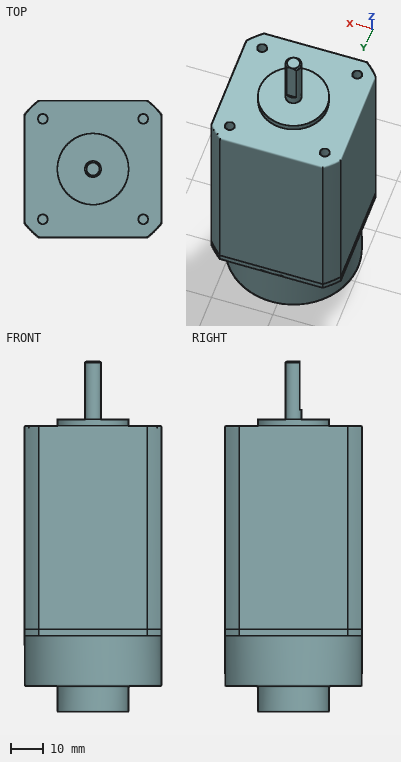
import cadquery as cq

housing_width = 42.3
corner_circle_diameter = 54.0
housing_length = 62.7
top_edge_fillet = 0.5
pilot_diameter = 22.0
pilot_height = 2.0
shaft_diameter = 5.0
shaft_length = 18.0
shaft_tip_chamfer = 0.5
flat_depth = 0.5
flat_length = 15.0
mount_hole_diameter = 3.0
mount_hole_spacing = 31.0
mount_hole_depth = 4.5

plate_thickness = 2.0
drum_diameter = housing_width
drum_length = 15.6
hub_diameter = pilot_diameter
hub_length = 8.0
rear_fillet = 0.5

drum_base = hub_length
plate_base = drum_base + drum_length
housing_base = plate_base + plate_thickness
housing_top = housing_base + housing_length
pilot_top = housing_top + pilot_height
shaft_top = pilot_top + shaft_length


def cylinder(diameter, base, height):
    """Cylinder on the motor axis, rising from the given height."""
    return cq.Workplane("XY", origin=(0, 0, base)).circle(diameter / 2).extrude(height)


def rounded_corner_block(base, height):
    """Square block whose four corners are trimmed by a large circle on the motor axis."""
    block = cq.Workplane("XY", origin=(0, 0, base)).rect(housing_width, housing_width).extrude(height)
    return block.intersect(cylinder(corner_circle_diameter, base, height))


def build_shaft():
    """Output shaft with a chamfered tip and a flat on its +Y side."""
    shaft = cylinder(shaft_diameter, pilot_top, shaft_length)
    shaft = shaft.faces(">Z").edges().chamfer(shaft_tip_chamfer)
    flat_y = shaft_diameter / 2 - flat_depth
    flat_base = shaft_top - flat_length
    flat_cutter = cq.Workplane("XY", origin=(0, flat_y, flat_base)).box(
        shaft_diameter, shaft_diameter, flat_length, centered=(True, False, False)
    )
    return shaft.cut(flat_cutter)


def build_motor():
    """Housing with blind mounting holes, pilot boss and shaft."""
    housing = rounded_corner_block(housing_base, housing_length)
    housing = housing.faces(">Z").edges().fillet(top_edge_fillet)
    mount_holes = (
        cq.Workplane("XY", origin=(0, 0, housing_top))
        .rect(mount_hole_spacing, mount_hole_spacing, forConstruction=True)
        .vertices()
        .circle(mount_hole_diameter / 2)
        .extrude(-mount_hole_depth)
    )
    pilot = cylinder(pilot_diameter, housing_top, pilot_height)
    return housing.cut(mount_holes).union(pilot).union(build_shaft())


def build_brake():
    """Mounting plate, drum and hub, with the drum edge, hub root and hub edge rounded."""
    plate = rounded_corner_block(plate_base, plate_thickness)
    drum = cylinder(drum_diameter, drum_base, drum_length)
    hub = cylinder(hub_diameter, 0, hub_length)
    drum_and_hub = drum.union(hub)
    drum_and_hub = drum_and_hub.edges("%CIRCLE").edges("not >Z").fillet(rear_fillet)
    return plate.union(drum_and_hub)


motor = build_motor()
brake = build_brake()
result = cq.Compound.makeCompound([motor.val(), brake.val()])